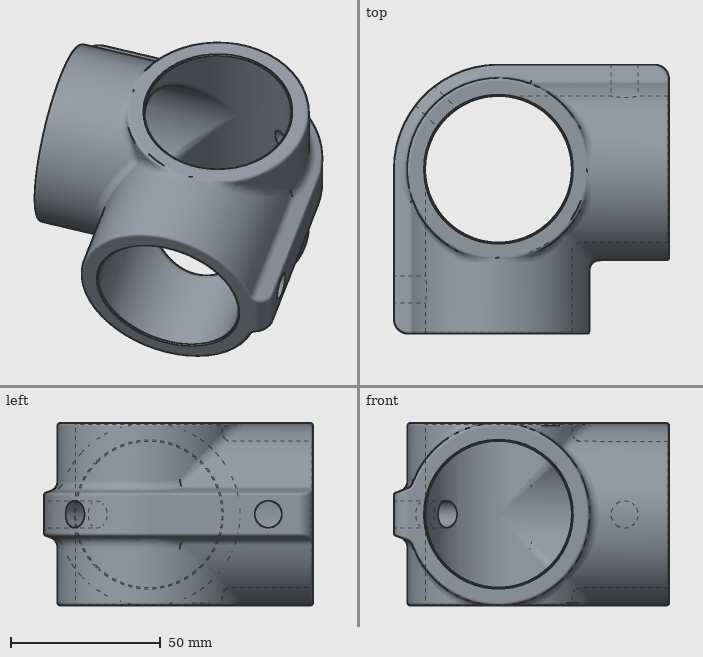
import cadquery as cq
import math

TUBE_RADIUS = 30.5
BORE_RADIUS = 24.5
X_REACH = 57.0
Y_REACH = 55.0
Z_REACH = TUBE_RADIUS

RIB_RADIUS = 35.0
RIB_HALF_WIDTH = 7.0
RIB_DRAFT = 20
RIB_END_RADIUS = 5.0

JOINT_FILLET = 3.0
EDGE_FILLET = 1.0
BORE_CHAMFER = 0.5

HOLE_DIAMETER = 9.0
HOLE_FROM_END = 15.0

SEAM_TURN = 200

TOLERANCE = 0.1

ORIGIN = cq.Vector(0, 0, 0)
X_TUBE = cq.Vector(1, 0, 0)
Y_TUBE = cq.Vector(0, -1, 0)
UP = cq.Vector(0, 0, 1)
DOWN = cq.Vector(0, 0, -1)


def cylinder(radius, start, end):
    axis = end - start
    return cq.Workplane(obj=cq.Solid.makeCylinder(radius, axis.Length, start, axis))


def make_tubes():
    upright = cylinder(TUBE_RADIUS, DOWN * Z_REACH, UP * Z_REACH)
    upright = upright.edges("%CIRCLE").fillet(EDGE_FILLET)
    x_tube = cylinder(TUBE_RADIUS, ORIGIN, X_TUBE * X_REACH)
    y_tube = cylinder(TUBE_RADIUS, ORIGIN, Y_TUBE * Y_REACH)
    return upright.union(x_tube).union(y_tube)


def make_rib():
    """Rib section, widening toward the tube axes, run along both side tubes and around the bend."""
    root_half_width = RIB_HALF_WIDTH + RIB_RADIUS * math.tan(math.radians(RIB_DRAFT))

    def section(plane, tip):
        return (
            cq.Workplane(plane)
            .moveTo(0, -root_half_width)
            .lineTo(tip, -RIB_HALF_WIDTH)
            .lineTo(tip, RIB_HALF_WIDTH)
            .lineTo(0, root_half_width)
            .close()
        )

    x_leg = section("YZ", RIB_RADIUS).extrude(X_REACH)
    y_leg = section("XZ", -RIB_RADIUS).extrude(Y_REACH)
    bend = section("XZ", -RIB_RADIUS).revolve(90, (0, 0), (0, -1))
    return x_leg.union(y_leg).union(bend)


def is_joint(edge):
    """True for the inside corners where the tubes and the rib meet."""
    middle = edge.positionAt(0.5)
    on_tube_end = middle.x > X_REACH - TOLERANCE or middle.y < TOLERANCE - Y_REACH

    rib_distance = max(-middle.x, middle.y)
    if middle.x < 0 < middle.y:
        rib_distance = math.hypot(middle.x, middle.y)
    on_rib_face = rib_distance > RIB_RADIUS - TOLERANCE

    on_upright_rim = edge.geomType() == "CIRCLE" and abs(middle.z) > Z_REACH - EDGE_FILLET - TOLERANCE

    on_axis_plane = abs(middle.x) < TOLERANCE or abs(middle.y) < TOLERANCE
    return not (on_tube_end or on_rib_face or on_upright_rim or on_axis_plane)


def round_rib_ends(body):
    """Round the outer corner of the rib, seen along Z, at the end of each leg."""
    for x, y in [(X_REACH, RIB_RADIUS), (-RIB_RADIUS, -Y_REACH)]:
        center_x = x - math.copysign(RIB_END_RADIUS, x)
        center_y = y - math.copysign(RIB_END_RADIUS, y)
        corner = (
            cq.Workplane("XY")
            .moveTo(center_x, y)
            .lineTo(x, y)
            .lineTo(x, center_y)
            .lineTo(center_x, center_y)
            .close()
            .extrude(Z_REACH / 2, both=True)
        )
        post = (
            cq.Workplane("XY")
            .center(center_x, center_y)
            .circle(RIB_END_RADIUS)
            .extrude(Z_REACH, both=True)
        )
        body = body.cut(corner.cut(post))
    return body


def make_bores():
    """Crossing bores with every edge between them blended."""
    spans = [
        (DOWN * 2 * Z_REACH, UP * 2 * Z_REACH),
        (ORIGIN, X_TUBE * X_REACH),
        (ORIGIN, Y_TUBE * Y_REACH),
    ]
    bores = cq.Workplane()
    for start, end in spans:
        bore = cylinder(BORE_RADIUS, start, end)
        bore = bore.rotate(start.toTuple(), end.toTuple(), SEAM_TURN)
        bores = bores.add(bore)
    return bores.combine().edges("%ELLIPSE").fillet(JOINT_FILLET)


def cut_mouth_chamfers(body):
    mouths = [(X_TUBE, X_REACH), (Y_TUBE, Y_REACH), (UP, Z_REACH), (DOWN, Z_REACH)]
    mouth_radius = BORE_RADIUS + BORE_CHAMFER
    for outward, reach in mouths:
        cone = cq.Solid.makeCone(mouth_radius, BORE_RADIUS, BORE_CHAMFER, outward * reach, -outward)
        body = body.cut(cq.Workplane(obj=cone))
    return body


def cut_screw_holes(body):
    """One hole on the middle of the bend and one near the end of each leg, outward through the rib."""
    holes = [
        (ORIGIN, cq.Vector(-1, 1, 0).normalized()),
        (X_TUBE * (X_REACH - HOLE_FROM_END), cq.Vector(0, 1, 0)),
        (Y_TUBE * (Y_REACH - HOLE_FROM_END), cq.Vector(-1, 0, 0)),
    ]
    for start, outward in holes:
        body = body.cut(cylinder(HOLE_DIAMETER / 2, start, start + outward * 2 * RIB_RADIUS))
    return body


body = make_tubes().union(make_rib())
body = body.edges().filter(is_joint).fillet(JOINT_FILLET)
body = round_rib_ends(body)

body = body.faces("<Y").edges().fillet(EDGE_FILLET)

body = body.cut(make_bores())
body = cut_mouth_chamfers(body)
result = cut_screw_holes(body).solids()